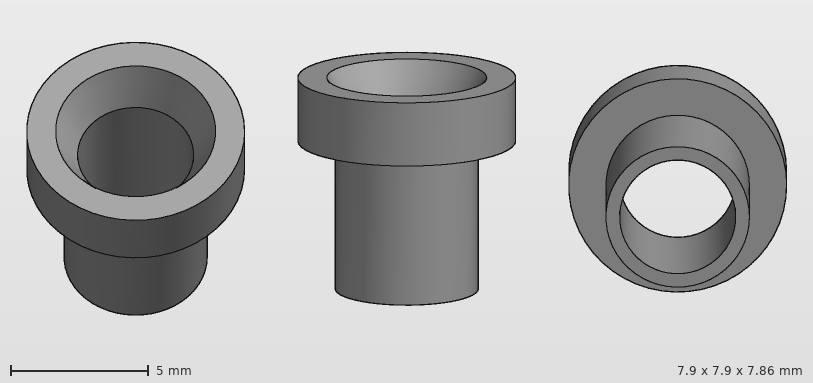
import cadquery as cq

flange_diameter = 7.9
flange_height = 2.355
shank_diameter = 5.2
bore_diameter = 4.2
mouth_diameter = 5.8
mouth_depth = 1.48
total_height = 7.86

flange_radius = flange_diameter / 2
shank_radius = shank_diameter / 2
bore_radius = bore_diameter / 2
mouth_radius = mouth_diameter / 2
flange_bottom = total_height - flange_height
mouth_bottom = total_height - mouth_depth

half_section = (
    cq.Workplane("XZ")
    .moveTo(bore_radius, 0)
    .lineTo(bore_radius, mouth_bottom)
    .lineTo(mouth_radius, total_height)
    .lineTo(flange_radius, total_height)
    .lineTo(flange_radius, flange_bottom)
    .lineTo(shank_radius, flange_bottom)
    .lineTo(shank_radius, 0)
    .close()
)

result = half_section.revolve(360, (0, 0, 0), (0, 1, 0))